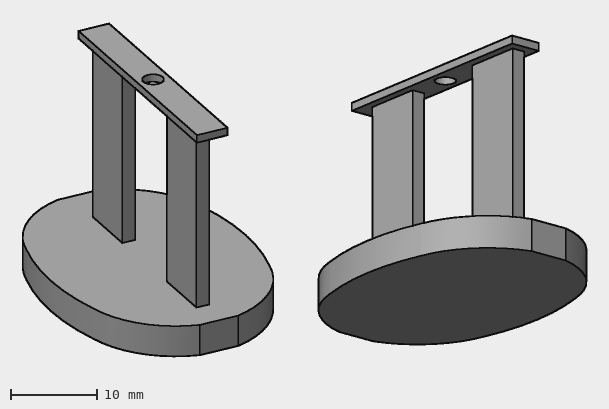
import cadquery as cq

base_length = 35.5
base_width = 25.38
base_height = 3.97
total_height = 28.0

end_flat = 5.05
bow_chord = 16.68
bow_rise = 1.15
corner_mid_x = 14.3
corner_mid_y = 8.38

bar_length = 29.55
bar_width = 4.0
bar_thickness = 1.0
bar_x = 1.45
bar_y = -0.1
hole_diameter = 2.52

post_length = 7.4
post_thickness = 1.7
post_centers = [(-8.35, -0.07), (10.0, 0.0)]

bar_bottom = total_height - bar_thickness
post_height = bar_bottom - base_height


def make_base():
    half_length = base_length / 2
    half_width = base_width / 2
    half_flat = end_flat / 2
    half_chord = bow_chord / 2
    chord_y = half_width - bow_rise
    return (
        cq.Workplane("XY")
        .moveTo(half_length, -half_flat)
        .lineTo(half_length, half_flat)
        .threePointArc((corner_mid_x, corner_mid_y), (half_chord, chord_y))
        .threePointArc((0, half_width), (-half_chord, chord_y))
        .threePointArc((-corner_mid_x, corner_mid_y), (-half_length, half_flat))
        .lineTo(-half_length, -half_flat)
        .threePointArc((-corner_mid_x, -corner_mid_y), (-half_chord, -chord_y))
        .threePointArc((0, -half_width), (half_chord, -chord_y))
        .threePointArc((corner_mid_x, -corner_mid_y), (half_length, -half_flat))
        .close()
        .extrude(base_height)
    )


def make_post(center):
    return (
        cq.Workplane("XY", origin=(*center, base_height))
        .rect(post_length, post_thickness)
        .extrude(post_height)
    )


def make_stand():
    """Base with its upright posts, as one solid."""
    body = make_base()
    for center in post_centers:
        body = body.union(make_post(center))
    return body


def make_crossbar():
    """Flat bar resting on the posts, with a hole through its middle."""
    return (
        cq.Workplane("XY", origin=(bar_x, bar_y, bar_bottom))
        .rect(bar_length, bar_width)
        .circle(hole_diameter / 2)
        .extrude(bar_thickness)
    )


stand = make_stand()
crossbar = make_crossbar()

result = cq.Compound.makeCompound([stand.val(), crossbar.val()])